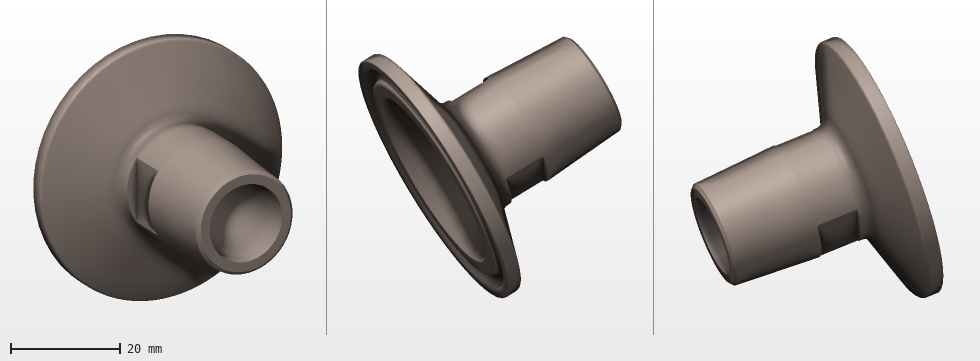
import cadquery as cq
import math

length = 35.0
rim_radius = 25.25
rim_front_round = 0.25
rim_back_round = 0.65
rim_corner_x = 2.85
back_cone_angle = 20.0

neck_radius = 11.0
neck_fillet = 1.95
taper_start_x = 18.45
taper_end_radius = 10.0
end_chamfer = 0.6

bore_radius = 7.5
mouth_radius = 17.45
mouth_depth = 8.1

groove_radius = 21.85
groove_depth = 1.6
groove_wall_angle = 70.0
groove_floor_radius = 1.2
groove_lip_radius = 0.85

flat_offset = 9.05
flat_start_x = 9.95
flat_end_x = 18.05


def make_blank():
    cone_run = (rim_radius - neck_radius) * math.tan(math.radians(back_cone_angle))
    blank = (
        cq.Workplane("XY")
        .polyline([
            (0, 0),
            (0, rim_radius),
            (rim_corner_x, rim_radius),
            (rim_corner_x + cone_run, neck_radius),
            (taper_start_x, neck_radius),
            (length, taper_end_radius),
            (length, 0),
        ])
        .close()
        .revolve(360, (0, 0, 0), (1, 0, 0))
    )
    ring_probe = 0.05

    def round_edge(body, x, radius, size):
        edge = cq.selectors.BoxSelector(
            (x - ring_probe, -radius - ring_probe, -radius - ring_probe),
            (x + ring_probe, radius + ring_probe, radius + ring_probe),
            boundingbox=True,
        )
        return body.edges(edge).edges("%CIRCLE").fillet(size)

    blank = round_edge(blank, 0, rim_radius, rim_front_round)
    blank = round_edge(blank, rim_corner_x, rim_radius, rim_back_round)
    blank = round_edge(blank, rim_corner_x + cone_run, neck_radius, neck_fillet)
    return blank.faces(">X").chamfer(end_chamfer)


def make_passage():
    return (
        cq.Workplane("XY")
        .polyline([
            (0, 0),
            (0, mouth_radius),
            (mouth_depth, bore_radius),
            (length, bore_radius),
            (length, 0),
        ])
        .close()
        .revolve(360, (0, 0, 0), (1, 0, 0))
    )


def make_gasket_groove():
    angle = math.radians(groove_wall_angle)
    sine, cosine = math.sin(angle), math.cos(angle)
    half_sine, half_cosine = math.sin(angle / 2), math.cos(angle / 2)

    floor_half_width = groove_floor_radius * sine
    floor_rise = groove_floor_radius * (1 - cosine)
    lip_width = groove_lip_radius * sine
    lip_drop = groove_lip_radius * (1 - cosine)
    wall_width = (groove_depth - floor_rise - lip_drop) / math.tan(angle)
    wall_half_width = floor_half_width + wall_width
    mouth_half_width = wall_half_width + lip_width

    lip_mid_x = groove_lip_radius * (1 - half_cosine)
    lip_mid_offset = mouth_half_width - groove_lip_radius * half_sine
    floor_edge_x = groove_depth - floor_rise
    return (
        cq.Workplane("XY")
        .moveTo(0, groove_radius - mouth_half_width)
        .threePointArc((lip_mid_x, groove_radius - lip_mid_offset), (lip_drop, groove_radius - wall_half_width))
        .lineTo(floor_edge_x, groove_radius - floor_half_width)
        .threePointArc((groove_depth, groove_radius), (floor_edge_x, groove_radius + floor_half_width))
        .lineTo(lip_drop, groove_radius + wall_half_width)
        .threePointArc((lip_mid_x, groove_radius + lip_mid_offset), (0, groove_radius + mouth_half_width))
        .close()
        .revolve(360, (0, 0, 0), (1, 0, 0))
    )


def make_flat_cutter(side):
    flat_length = flat_end_x - flat_start_x
    block_depth = neck_radius
    return cq.Workplane("XY").box(flat_length, block_depth, 2 * neck_radius).translate(
        ((flat_start_x + flat_end_x) / 2, side * (flat_offset + block_depth / 2), 0)
    )


result = make_blank().cut(make_passage()).cut(make_gasket_groove())
for side in (-1, 1):
    result = result.cut(make_flat_cutter(side))